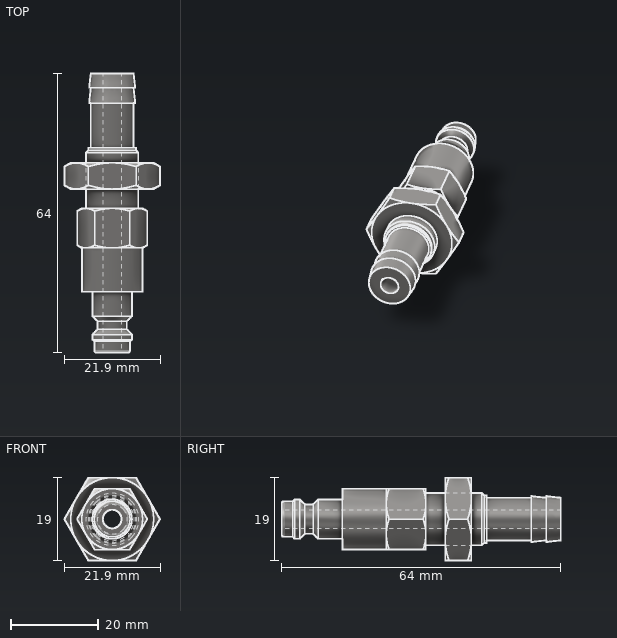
import cadquery as cq
import math

bore_radius = 2.1
plug_radius = 4.55
nose_radius = 4.1
neck_radius = 3.4
sleeve_radius = 7.0
thread_radius = 6.0
thread_end_radius = 5.5
hose_radius = 4.9
barb_radius = 5.3

nose_rounding = 0.5
nose_end = 2.6
collar_start = 3.0
collar_end = 4.15
neck_start = 5.4
neck_end = 7.2
plug_start = 8.4
sleeve_start = 13.95
hex_start = 24.0
hex_end = 33.1
nut_start = 37.5
thread_end = 45.8
shoulder_start = 46.4
shoulder_end = 47.0
barb_starts = [57.2, 60.7]
overall_length = 64.0

hex_flats = 2 * sleeve_radius
nut_flats = 19.0
nut_thickness = 6.0
corner_chamfer_angle = 30.0


def revolve_about_y(points):
    """Solid of revolution from (radius, y) points."""
    return cq.Workplane("XY").polyline(points).close().revolve(360, (0, 0, 0), (0, 1, 0))


def chamfered_hexagon(flats, start, end):
    """Hexagonal prism along Y with conically chamfered corners at both ends."""
    flat_radius = flats / 2
    corner_radius = flat_radius / math.cos(math.radians(30))
    chamfer = (corner_radius - flat_radius) * math.tan(math.radians(corner_chamfer_angle))
    prism = (
        cq.Workplane("XZ", origin=(0, start, 0))
        .polygon(6, 2 * corner_radius)
        .extrude(start - end)
    )
    envelope = revolve_about_y([
        (0, start),
        (flat_radius, start),
        (corner_radius, start + chamfer),
        (corner_radius, end - chamfer),
        (flat_radius, end),
        (0, end),
    ])
    return prism.intersect(envelope)


def make_fitting():
    """Plug, hexagon, threaded shank and barbed hose tail in one piece, bored through."""
    profile = [
        (0, 0),
        (nose_radius, 0),
        (nose_radius, nose_end),
        (plug_radius, collar_start),
        (plug_radius, collar_end),
        (neck_radius, neck_start),
        (neck_radius, neck_end),
        (plug_radius, plug_start),
        (plug_radius, sleeve_start),
        (sleeve_radius, sleeve_start),
        (sleeve_radius, hex_start),
        (thread_radius, hex_start),
        (thread_radius, thread_end),
        (thread_end_radius, shoulder_start),
        (thread_end_radius, shoulder_end),
        (hose_radius, shoulder_end),
        (hose_radius, barb_starts[0]),
    ]
    barb_ends = barb_starts[1:] + [overall_length]
    for start, end in zip(barb_starts, barb_ends):
        profile += [(barb_radius, start), (hose_radius, end)]
    profile.append((0, overall_length))

    turned = revolve_about_y(profile).faces("<Y").edges().fillet(nose_rounding)
    hexagon = chamfered_hexagon(hex_flats, hex_start, hex_end)
    bore = cq.Workplane("XZ").circle(bore_radius).extrude(-overall_length)
    return turned.union(hexagon).cut(bore)


def make_nut():
    """Hexagon nut fitted on the threaded shank."""
    nut_end = nut_start + nut_thickness
    blank = chamfered_hexagon(nut_flats, nut_start, nut_end)
    hole = cq.Workplane("XZ", origin=(0, nut_start, 0)).circle(thread_radius).extrude(-nut_thickness)
    return blank.cut(hole)


fitting = make_fitting()
nut = make_nut()
result = cq.Compound.makeCompound([fitting.solids().val(), nut.solids().val()])